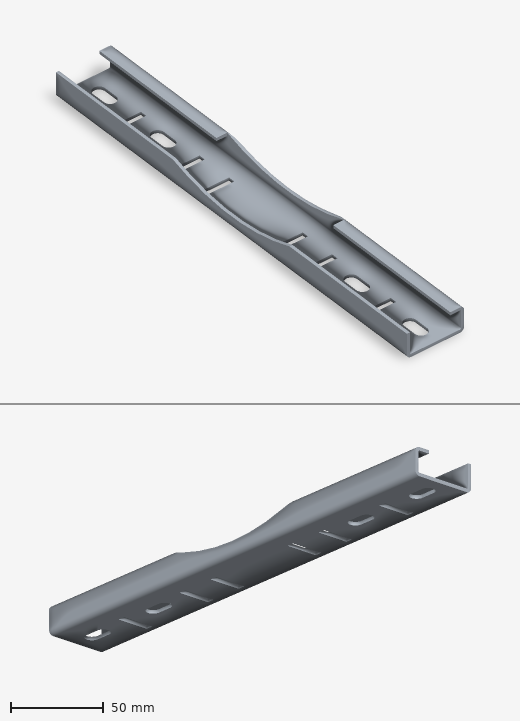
import cadquery as cq

length = 300.0
width = 40.0
height = 17.0

sheet = 2.0
inner_radius = 1.0
outer_radius = inner_radius + sheet
lip_width = 9.5

dip_length = 100.0
dip_depth = 9.0

oblong_length = 17.7
oblong_width = 8.5
oblong_positions = (82.8, 133.0)
cross_slot_length = 20.0
cross_slot_width = 4.5
cross_slot_positions = (31.5, 56.7, 106.8)
cross_slot_y = -4.2


def box_between(x_size, y_min, y_max, z_min, z_max):
    """Box centred on the YZ plane between the given Y and Z limits."""
    return cq.Workplane("XY").box(x_size, y_max - y_min, z_max - z_min).translate(
        (0, (y_min + y_max) / 2, (z_min + z_max) / 2)
    )


def channel():
    """Folded sheet: front wall, floor, rear wall and a lip turned inward over the floor."""
    front = -width / 2
    rear = width / 2
    outer = box_between(length, front, rear, 0, height)
    outer = outer.edges("|X and (<Z or >Y)").fillet(outer_radius)
    cavity = box_between(length, front + sheet, rear - sheet, sheet, height - sheet)
    cavity = cavity.edges("|X and (<Z or >Y)").fillet(inner_radius)
    opening = box_between(length, front + sheet, rear - lip_width, height / 2, height)
    return outer.cut(cavity).cut(opening)


def wall_dip():
    """Shallow circular segment taken out of the upper edge of both walls."""
    half = dip_length / 2
    radius = (half**2 + dip_depth**2) / (2 * dip_depth)
    centre_z = height - dip_depth + radius
    return cq.Workplane("XZ").center(0, centre_z).circle(radius).extrude(width, both=True)


def lip_gap():
    """Square-ended gap, as long as the dip, that clears the lip back to the inside of the rear wall."""
    rear = width / 2
    return box_between(dip_length, rear - lip_width, rear - sheet, height - outer_radius, height)


def both_ends(positions):
    """Positions along the length on both sides of the middle."""
    return [side * x for x in positions for side in (-1, 1)]


def floor_openings():
    """Lengthwise oblong holes and narrow crosswise slots through the floor."""
    oblongs = (
        cq.Workplane("XY")
        .pushPoints([(x, 0) for x in both_ends(oblong_positions)])
        .slot2D(oblong_length, oblong_width)
        .extrude(2 * sheet, both=True)
    )
    cross_slots = (
        cq.Workplane("XY")
        .pushPoints([(x, cross_slot_y) for x in both_ends(cross_slot_positions)])
        .rect(cross_slot_width, cross_slot_length)
        .extrude(2 * sheet, both=True)
    )
    return oblongs.union(cross_slots)


result = channel().cut(wall_dip()).cut(lip_gap()).cut(floor_openings())